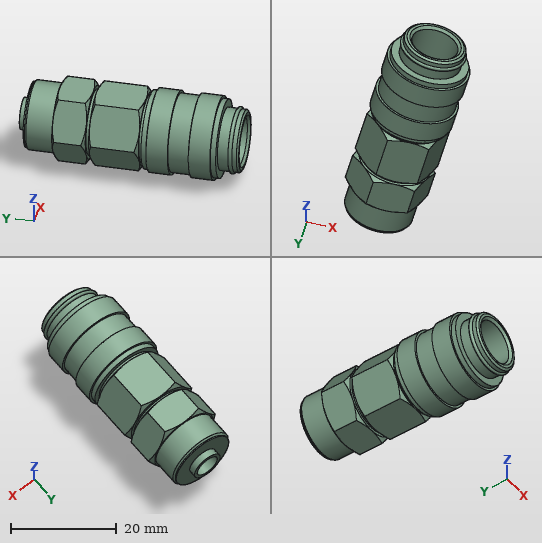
import cadquery as cq
import math

total_length = 43.0
outer_diameter = 16.2
outer_radius = outer_diameter / 2

spout_radius = 6.05
spout_end = 4.0
spout_chamfer_width = 0.47
spout_chamfer_length = 0.35
bead_center = 1.6
bead_half_width = 0.4
bead_height = 0.4

sleeve_radius = 7.6
sleeve_end = 18.45
band_length = 4.15
band_inset = 1.05

front_neck_radius = 6.6
body_hex_start = 19.1
body_hex_end = 28.72
rear_neck_radius = 6.35
nut_hex_start = 29.35
nut_hex_end = 35.85
hex_chamfer_angle = 30.0

nut_radius = 6.7
nut_chamfer = 0.35
nut_body_end = 41.3
rim_end = 41.55
tip_radius = 3.1

socket_radius = 4.5
socket_depth = 17.2
socket_chamfer = 0.5
seat_radius = 3.5
seat_depth = 19.35
passage_radius = 2.4


def cylinder(radius, start, end):
    """Round section about the Y axis between two Y positions."""
    section = cq.Workplane("XZ", origin=(0, start, 0)).circle(radius)
    return section.extrude(start - end)


def spin(profile):
    """Revolve a closed (radius, Y) profile about the Y axis."""
    return profile.close().revolve(360, (0, 0, 0), (0, 1, 0))


def chamfered_hexagon(start, end):
    """Hexagon with corners on the X axis and conical chamfers at both ends."""
    face_radius = outer_radius * math.cos(math.pi / 6)
    chamfer_length = (outer_radius - face_radius) * math.tan(math.radians(hex_chamfer_angle))
    prism = cq.Workplane("XZ", origin=(0, start, 0)).polygon(6, outer_diameter).extrude(start - end)
    envelope = spin(
        cq.Workplane("XY")
        .moveTo(0, start)
        .lineTo(face_radius, start)
        .lineTo(outer_radius, start + chamfer_length)
        .lineTo(outer_radius, end - chamfer_length)
        .lineTo(face_radius, end)
        .lineTo(0, end)
    )
    return prism.intersect(envelope)


def spout():
    """Spout with a chamfered mouth and a rounded bead around it."""
    profile = (
        cq.Workplane("XY")
        .lineTo(spout_radius - spout_chamfer_width, 0)
        .lineTo(spout_radius, spout_chamfer_length)
        .lineTo(spout_radius, bead_center - bead_half_width)
        .threePointArc(
            (spout_radius + bead_height, bead_center),
            (spout_radius, bead_center + bead_half_width),
        )
        .lineTo(spout_radius, spout_end)
        .lineTo(0, spout_end)
    )
    return spin(profile)


def sleeve():
    """Sleeve with a raised band near each end."""
    body = cylinder(sleeve_radius, spout_end, sleeve_end)
    for band_start in (spout_end + band_inset, sleeve_end - band_inset - band_length):
        body = body.union(cylinder(outer_radius, band_start, band_start + band_length))
    return body


def nut_end():
    """Round end of the nut, chamfered where it meets the rim."""
    body = cylinder(nut_radius, nut_hex_end, nut_body_end).faces(">Y").edges().chamfer(nut_chamfer)
    return body.union(cylinder(rear_neck_radius, nut_body_end, rim_end))


def bore():
    """Chamfered socket, stepped seat and through passage."""
    mouth = spin(
        cq.Workplane("XY")
        .lineTo(socket_radius + socket_chamfer, 0)
        .lineTo(socket_radius, socket_chamfer)
        .lineTo(0, socket_chamfer)
    )
    return (
        mouth.union(cylinder(socket_radius, 0, socket_depth))
        .union(cylinder(seat_radius, 0, seat_depth))
        .union(cylinder(passage_radius, 0, total_length))
    )


result = (
    spout()
    .union(sleeve())
    .union(cylinder(front_neck_radius, sleeve_end, body_hex_start))
    .union(chamfered_hexagon(body_hex_start, body_hex_end))
    .union(cylinder(rear_neck_radius, body_hex_end, nut_hex_start))
    .union(chamfered_hexagon(nut_hex_start, nut_hex_end))
    .union(nut_end())
    .union(cylinder(tip_radius, rim_end, total_length))
    .cut(bore())
)